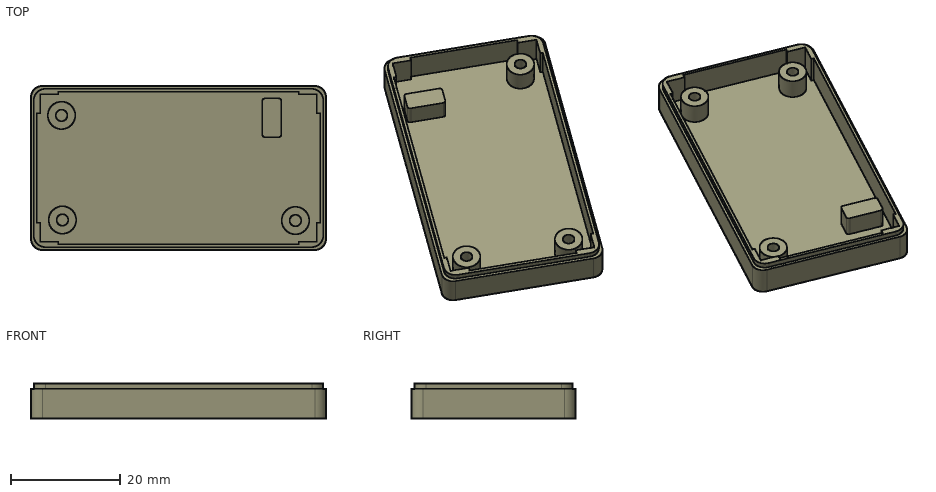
import cadquery as cq

length = 54.0
width = 30.0
height = 6.5
corner_radius = 2.1
floor_thickness = 1.0

lip_height = 1.0
lip_inset = 0.55
body_height = height - lip_height

wall = 1.1
end_corner_wall = 1.75
side_corner_wall = 1.55
end_recess_width = 20.0
side_recess_length = 43.95
cavity_depth = height - floor_thickness

post_diameter = 5.0
post_hole_diameter = 2.1
post_top = 5.0
post_height = post_top - floor_thickness
post_centers = [(-21.4, 9.6), (-21.2, -9.5), (21.4, -9.6)]

block_length = 3.5
block_width = 7.1
block_radius = 0.5
block_center = (17.05, 9.2)
block_top = 5.0
block_height = block_top - floor_thickness


def box_on(z, size_x, size_y, size_z):
    """Box centred in X and Y, standing on height z."""
    return cq.Workplane("XY").workplane(offset=z).rect(size_x, size_y).extrude(size_z)


def tray_shell():
    body = box_on(0, length, width, body_height).edges("|Z").fillet(corner_radius)
    lip = box_on(body_height, length - 2 * lip_inset, width - 2 * lip_inset, lip_height)
    return body.union(lip.edges("|Z").fillet(corner_radius))


def cavity():
    corner_length = length - 2 * end_corner_wall
    corner_width = width - 2 * side_corner_wall
    core = box_on(floor_thickness, corner_length, corner_width, cavity_depth)
    end_recesses = box_on(floor_thickness, length - 2 * wall, end_recess_width, cavity_depth)
    side_recesses = box_on(floor_thickness, side_recess_length, width - 2 * wall, cavity_depth)
    return core.union(end_recesses).union(side_recesses)


def screw_posts():
    floor = cq.Workplane("XY").workplane(offset=floor_thickness).pushPoints(post_centers)
    return floor.circle(post_diameter / 2).circle(post_hole_diameter / 2).extrude(post_height)


def support_block():
    block = box_on(floor_thickness, block_length, block_width, block_height)
    return block.edges("|Z").fillet(block_radius).translate(block_center + (0,))


result = tray_shell().cut(cavity()).union(screw_posts()).union(support_block())